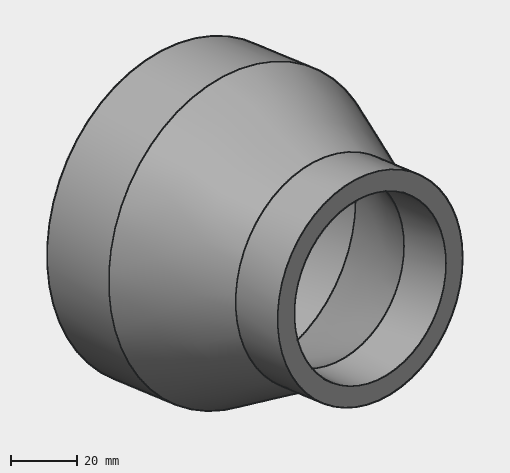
import cadquery as cq

large_outer_diameter = 110.0
large_bore_diameter = 90.0
small_outer_diameter = 75.0
small_bore_diameter = 61.4

large_end_length = 28.0
small_end_length = 19.0
overall_length = 85.0

cone_start = large_end_length
cone_end = overall_length - small_end_length


def reducer_solid(large_diameter, small_diameter):
    """Revolve a straight, tapered and straight profile about the X axis."""
    large_radius = large_diameter / 2
    small_radius = small_diameter / 2
    return (
        cq.Workplane("XY")
        .moveTo(0, 0)
        .lineTo(0, large_radius)
        .lineTo(cone_start, large_radius)
        .lineTo(cone_end, small_radius)
        .lineTo(overall_length, small_radius)
        .lineTo(overall_length, 0)
        .close()
        .revolve(360, (0, 0, 0), (1, 0, 0))
    )


body = reducer_solid(large_outer_diameter, small_outer_diameter)
bore = reducer_solid(large_bore_diameter, small_bore_diameter)

result = body.cut(bore)